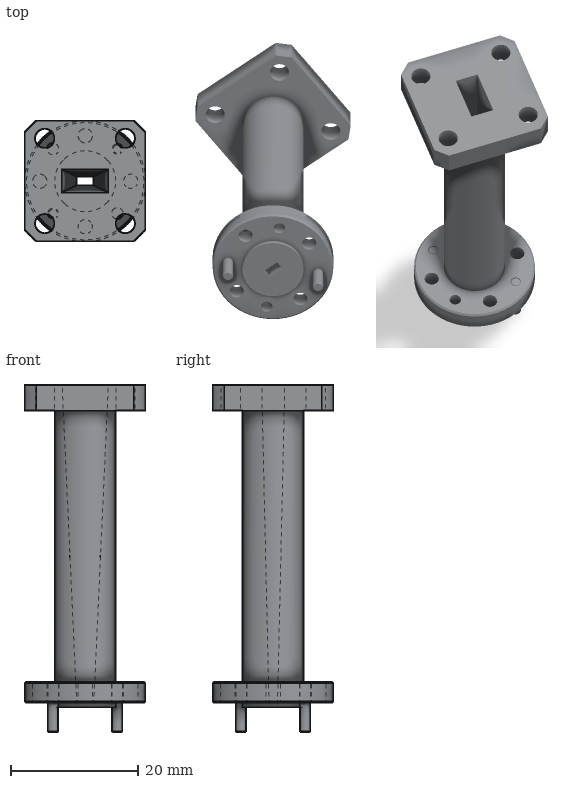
import cadquery as cq
import math

total_height = 54.65
boss_bottom = 3.9
flange_bottom = 4.6
flange_top = 7.9

plate_side = 19.0
plate_thickness = 4.05
plate_corner_cut = 1.8
plate_hole_diameter = 3.0
plate_hole_spacing_x = 12.7
plate_hole_spacing_y = 13.4

tube_diameter = 9.6
flange_diameter = plate_side
flange_chamfer = 0.3
bolt_circle_radius = 7.15
screw_hole_diameter = 2.25
dowel_hole_diameter = 1.8

top_bore_width = 7.25
top_bore_depth = top_bore_width / 2
bottom_bore_width = 2.6
bottom_bore_depth = bottom_bore_width / 2

pin_diameter = 1.65
pin_chamfer = 0.15
pin_angles = (45, 225)
dowel_hole_angles = (135, 315)
screw_hole_angles = (0, 90, 180, 270)


def on_bolt_circle(angle):
    """Return the XY point of the bolt circle at an angle in degrees."""
    turn = math.radians(angle)
    return (bolt_circle_radius * math.cos(turn), bolt_circle_radius * math.sin(turn))


def make_cylinder(diameter, bottom, top):
    """Make a vertical cylinder on the part axis."""
    return cq.Workplane("XY").workplane(offset=bottom).circle(diameter / 2).extrude(top - bottom)


def make_square_flange():
    """Make the top plate with cut corners and four screw holes."""
    return (
        cq.Workplane("XY")
        .workplane(offset=total_height - plate_thickness)
        .rect(plate_side, plate_side)
        .extrude(plate_thickness)
        .edges("|Z")
        .chamfer(plate_corner_cut)
        .faces(">Z")
        .workplane()
        .rect(plate_hole_spacing_x, plate_hole_spacing_y, forConstruction=True)
        .vertices()
        .hole(plate_hole_diameter)
    )


def make_flange_holes(diameter, angles):
    """Make the cutters for through holes on the round flange's bolt circle."""
    return (
        cq.Workplane("XY")
        .workplane(offset=flange_bottom)
        .pushPoints([on_bolt_circle(angle) for angle in angles])
        .circle(diameter / 2)
        .extrude(flange_top - flange_bottom)
    )


def make_round_flange():
    """Make the chamfered disc with screw, dowel and pin holes."""
    flange = make_cylinder(flange_diameter, flange_bottom, flange_top).edges().chamfer(flange_chamfer)
    flange = flange.cut(make_flange_holes(screw_hole_diameter, screw_hole_angles))
    flange = flange.cut(make_flange_holes(dowel_hole_diameter, dowel_hole_angles))
    return flange.cut(make_flange_holes(pin_diameter, pin_angles))


def make_bore():
    """Make the tapered rectangular bore cutter."""
    return (
        cq.Workplane("XY")
        .workplane(offset=boss_bottom)
        .rect(bottom_bore_width, bottom_bore_depth)
        .workplane(offset=total_height - boss_bottom)
        .rect(top_bore_width, top_bore_depth)
        .loft(ruled=True)
    )


def make_housing():
    """Make the waveguide transition: tube, boss and both flanges in one solid."""
    tube = make_cylinder(tube_diameter, boss_bottom, total_height - plate_thickness)
    return tube.union(make_round_flange()).union(make_square_flange()).cut(make_bore())


def make_pin(angle):
    """Make one dowel pin, flush with the top of the round flange."""
    pin = make_cylinder(pin_diameter, 0, flange_top).edges().chamfer(pin_chamfer)
    return pin.translate((*on_bolt_circle(angle), 0))


housing = make_housing()
pins = [make_pin(angle) for angle in pin_angles]

result = cq.Compound.makeCompound([housing.solids().val(), *[pin.val() for pin in pins]])